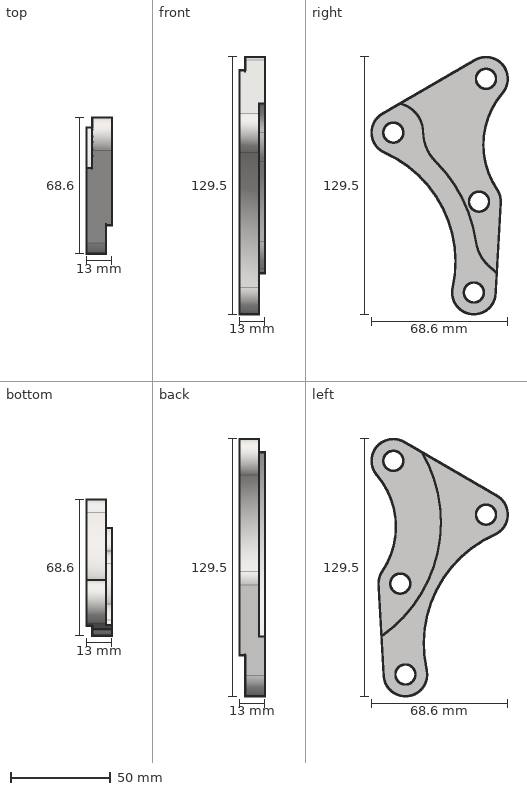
import cadquery as cq
import math

thickness = 13.0
front_step_depth = 3.0
rear_step_depth = 3.0

hole_radius = 4.98
end_radius = 11.0
top_hole = (57.6, 118.5)
side_hole = (11.0, 91.4)
middle_hole = (54.1, 56.7)
bottom_hole = (51.5, 11.0)

upper_edge_radius = 40.0
lower_edge_radius = 60.0
front_step_center = (103.5, 87.5)
front_step_radius = 69.8
rear_clearance_radius = 15.0
rear_fillet_radius = 21.0


def toward(start, target, distance):
    """Point at the given distance from start on the way to target."""
    ratio = distance / math.dist(start, target)
    return tuple(s + ratio * (t - s) for s, t in zip(start, target))


def circle_crossing(first, first_radius, second, second_radius):
    """Crossing of two circles that lies to the left of the way from first to second."""
    gap = math.dist(first, second)
    along = (gap**2 + first_radius**2 - second_radius**2) / (2 * gap)
    aside = math.sqrt(first_radius**2 - along**2)
    foot = toward(first, second, along)
    uy = (second[0] - first[0]) / gap
    uz = (second[1] - first[1]) / gap
    return (foot[0] - aside * uz, foot[1] + aside * uy)


def side_tangent(start, target, center):
    """Tangent point on the rounded end at center, left of the way from start to target."""
    length = math.dist(start, target)
    normal_y = (start[1] - target[1]) / length
    normal_z = (target[0] - start[0]) / length
    return (center[0] + end_radius * normal_y, center[1] + end_radius * normal_z)


def arc_middle(center, start, end, turn):
    """Middle of the arc; turn is 1 for counterclockwise and -1 for clockwise."""
    start_angle = math.atan2(start[1] - center[1], start[0] - center[0])
    end_angle = math.atan2(end[1] - center[1], end[0] - center[0])
    sweep = turn * ((turn * (end_angle - start_angle)) % (2 * math.pi))
    angle = start_angle + sweep / 2
    radius = math.dist(center, start)
    return (center[0] + radius * math.cos(angle), center[1] + radius * math.sin(angle))


upper_reach = upper_edge_radius + end_radius
lower_reach = lower_edge_radius + end_radius
upper_center = circle_crossing(top_hole, upper_reach, middle_hole, upper_reach)
lower_center = circle_crossing(bottom_hole, lower_reach, side_hole, lower_reach)


def prism(points, start_x, depth):
    return cq.Workplane("YZ", origin=(start_x, 0, 0)).polyline(points).close().extrude(depth)


def disk(center, radius, start_x, depth):
    return cq.Workplane("YZ", origin=(start_x, 0, 0)).center(*center).circle(radius).extrude(depth)


def make_plate():
    """Plate outline, walked clockwise, seen with Y to the right, from the sloped top edge."""
    arcs = [
        (top_hole, -1, side_tangent(side_hole, top_hole, top_hole),
         toward(top_hole, upper_center, end_radius)),
        (upper_center, 1, toward(upper_center, top_hole, upper_edge_radius),
         toward(upper_center, middle_hole, upper_edge_radius)),
        (middle_hole, -1, toward(middle_hole, upper_center, end_radius),
         side_tangent(middle_hole, bottom_hole, middle_hole)),
        (bottom_hole, -1, side_tangent(middle_hole, bottom_hole, bottom_hole),
         toward(bottom_hole, lower_center, end_radius)),
        (lower_center, 1, toward(lower_center, bottom_hole, lower_edge_radius),
         toward(lower_center, side_hole, lower_edge_radius)),
        (side_hole, -1, toward(side_hole, lower_center, end_radius),
         side_tangent(side_hole, top_hole, side_hole)),
    ]
    outline = cq.Workplane("YZ").moveTo(*arcs[0][2])
    position = arcs[0][2]
    for center, turn, start, end in arcs:
        if math.dist(position, start) > 1.29e-06:
            outline = outline.lineTo(*start)
        outline = outline.threePointArc(arc_middle(center, start, end, turn), end)
        position = end
    return outline.close().extrude(thickness)


def make_rear_step():
    """Rear recess: a band along the lower edge blended into a clearance at each end."""
    start_x = thickness - rear_step_depth
    step = disk(lower_center, lower_reach, start_x, rear_step_depth)
    band_offset = lower_reach + rear_fillet_radius
    clearance_offset = rear_clearance_radius + rear_fillet_radius
    fillet_centers = [
        circle_crossing(side_hole, clearance_offset, lower_center, band_offset),
        circle_crossing(lower_center, band_offset, bottom_hole, clearance_offset),
    ]
    for hole, fillet_center in zip((side_hole, bottom_hole), fillet_centers):
        corner = prism([hole, lower_center, fillet_center], start_x, rear_step_depth)
        corner = corner.cut(disk(fillet_center, rear_fillet_radius, start_x, rear_step_depth))
        step = step.union(disk(hole, rear_clearance_radius, start_x, rear_step_depth)).union(corner)
    return step


front_step = disk(front_step_center, front_step_radius, 0, front_step_depth)

result = make_plate().cut(front_step).cut(make_rear_step())
for hole_center in (top_hole, side_hole, middle_hole, bottom_hole):
    result = result.cut(disk(hole_center, hole_radius, 0, thickness))